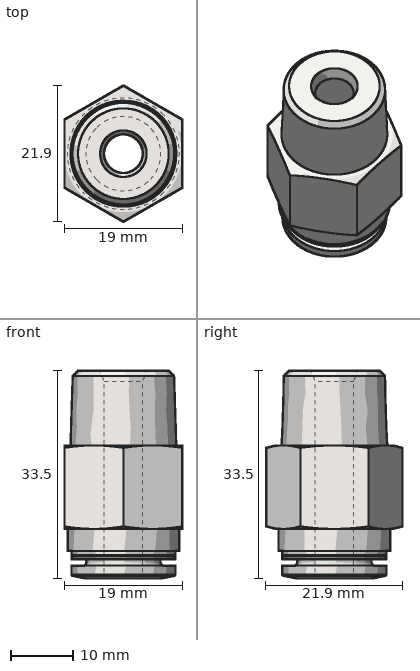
import cadquery as cq
import math

total_height = 33.45
hex_bottom = 8.0
hex_top = 21.45

hex_across_flats = 19.0
hex_face_diameter = 18.93
hex_chamfer_angle = 15.0

stub_base_diameter = 17.05
stub_tip_diameter = 16.35
stub_face_diameter = 14.58
stub_chamfer_height = 0.87

collar_diameter = 18.0
collar_bottom = 4.45
sleeve_diameter = 16.8
sleeve_bottom = 3.05
sleeve_edge_break = 0.15
groove_diameter = 16.4
groove_bottom = 3.55
groove_top = 3.8

neck_diameter = 12.0
button_top = 2.07
button_bottom_diameter = 12.0
button_taper_height = 0.45
button_edge_break = 0.2
neck_fillet = 0.5

bore_diameter = 6.2
bore_mouth_diameter = 7.5
bore_mouth_depth = 1.77


def cone_frustum(bottom_diameter, top_diameter, bottom, top):
    """Solid frustum on the Z axis between two heights."""
    profile = [(0, bottom), (bottom_diameter / 2, bottom), (top_diameter / 2, top), (0, top)]
    return cq.Workplane("XZ").polyline(profile).close().revolve(360, (0, 0, 0), (0, 1, 0))


def cylinder(diameter, bottom, top):
    return cone_frustum(diameter, diameter, bottom, top)


def hexagon_body():
    """Hexagonal prism with corners on the Y axis and conical chamfers on both ends."""
    corner_diameter = hex_across_flats / math.cos(math.radians(30))
    chamfer_height = (corner_diameter - hex_face_diameter) / 2 * math.tan(math.radians(hex_chamfer_angle))
    prism = (
        cq.Workplane("XY", origin=(0, 0, hex_bottom))
        .transformed(rotate=(0, 0, 90))
        .polygon(6, corner_diameter)
        .extrude(hex_top - hex_bottom)
    )
    lower_chamfer_top = hex_bottom + chamfer_height
    upper_chamfer_bottom = hex_top - chamfer_height
    envelope = (
        cone_frustum(hex_face_diameter, corner_diameter, hex_bottom, lower_chamfer_top)
        .union(cylinder(corner_diameter, lower_chamfer_top, upper_chamfer_bottom))
        .union(cone_frustum(corner_diameter, hex_face_diameter, upper_chamfer_bottom, hex_top))
    )
    return prism.intersect(envelope)


def tapered_stub():
    chamfer_start = total_height - stub_chamfer_height
    shank = cone_frustum(stub_base_diameter, stub_tip_diameter, hex_top, chamfer_start)
    tip = cone_frustum(stub_tip_diameter, stub_face_diameter, chamfer_start, total_height)
    return shank.union(tip)


def collar_and_sleeve():
    """Plain collar over a sleeve that carries a shallow groove."""
    collar = cylinder(collar_diameter, collar_bottom, hex_bottom)
    sleeve = cylinder(sleeve_diameter, sleeve_bottom, collar_bottom).faces("<Z").chamfer(sleeve_edge_break)
    groove = cylinder(sleeve_diameter, groove_bottom, groove_top).cut(
        cylinder(groove_diameter, groove_bottom, groove_top)
    )
    return collar.union(sleeve.cut(groove))


def release_button():
    """Flanged button with a coned underside and a neck that flares into the flange."""
    flange_radius = sleeve_diameter / 2
    neck_radius = neck_diameter / 2
    fillet_reach = neck_fillet * (1 - math.sqrt(0.5))
    return (
        cq.Workplane("XZ")
        .moveTo(0, 0)
        .lineTo(button_bottom_diameter / 2, 0)
        .lineTo(flange_radius - button_edge_break, button_taper_height)
        .lineTo(flange_radius, button_taper_height + button_edge_break)
        .lineTo(flange_radius, button_top)
        .lineTo(neck_radius + neck_fillet, button_top)
        .threePointArc(
            (neck_radius + fillet_reach, button_top + fillet_reach),
            (neck_radius, button_top + neck_fillet),
        )
        .lineTo(neck_radius, sleeve_bottom)
        .lineTo(0, sleeve_bottom)
        .close()
        .revolve(360, (0, 0, 0), (0, 1, 0))
    )


def bore():
    """Through bore with a tapered mouth at the stub end."""
    mouth = cone_frustum(
        bore_diameter, bore_mouth_diameter, total_height - bore_mouth_depth, total_height
    )
    return cylinder(bore_diameter, 0, total_height).union(mouth)


outer_body = hexagon_body().union(tapered_stub()).union(collar_and_sleeve()).union(release_button())
result = outer_body.cut(bore())